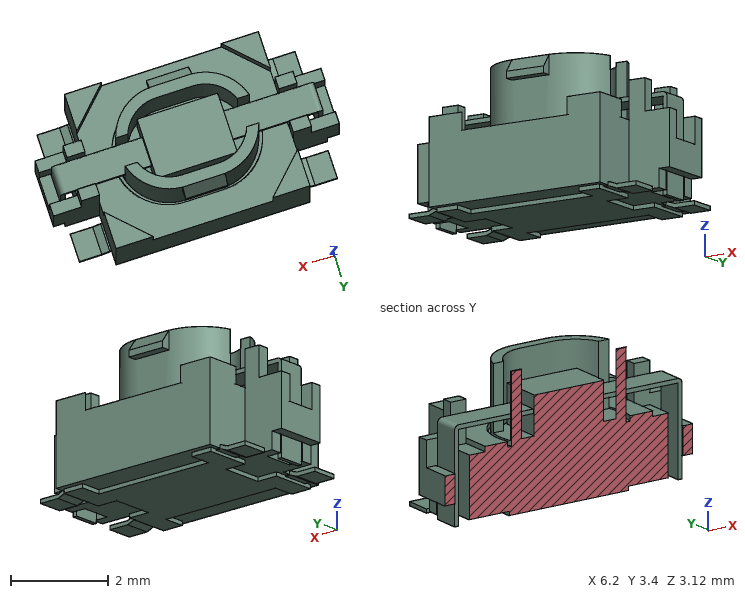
import cadquery as cq

LENGTH = 6.2
BODY_LENGTH = 4.205
BODY_WIDTH = 3.4
TOTAL_HEIGHT = 3.12
BODY_BOTTOM = 0.09
BODY_TOP = 1.62

CORNER_LEG = 0.805
CORNER_TOP = 2.0

COLLAR_FLAT = 0.795
COLLAR_OUTER_RADIUS = 1.1
COLLAR_INNER_RADIUS = 0.85
RECESS_FLAT = 0.845
RECESS_RADIUS = 1.155
RECESS_FLOOR = 1.5

HOOK_WIDTH = 0.92
HOOK_TIP_Y = 1.3
HOOK_BOTTOM = 2.685
HOOK_LIP_TOP = 2.835

BUTTON_LENGTH = 1.75
BUTTON_WIDTH = 1.3
BUTTON_TOP = 2.505

STRAP_WIDTH = 0.62
STRAP_LENGTH = 5.69
STRAP_THICKNESS = 0.1
STRAP_TOP = 2.195
STRAP_BEND_RADIUS = 0.11

BRACKET_WIDTH = 1.215
BRACKET_SLOT_WIDTH = 0.695
BRACKET_SLOT_FLOOR = 1.16
OVERHANG_BOTTOM = 0.5
SHOULDER_TOP = 1.755
POST_TOP = 2.46
POST_LENGTH = 0.39

FOOT_SPAN = 5.59
FOOT_WIDTH = 0.61
FOOT_CENTER_Y = 1.09
FOOT_THICKNESS = 0.09
FOOT_BEND_START = 2.31
FOOT_BEND_END = 2.14
FOOT_RISE = 0.07
FOOT_EMBED = 0.125

PLATE_LENGTH = 4.005
PLATE_WIDTH = 3.125
PLATE_ARM = 0.51
PLATE_END_NOTCH_WIDTH = 0.99

BODY_END = BODY_LENGTH / 2
BODY_SIDE = BODY_WIDTH / 2
STRAP_END = STRAP_LENGTH / 2


def block(x_range, y_range, z_range):
    """Box between the given limits along each axis."""
    sizes = [high - low for low, high in (x_range, y_range, z_range)]
    corner = (x_range[0], y_range[0], z_range[0])
    return cq.Workplane("XY").box(*sizes, centered=False).translate(corner)


def centered_block(length, width, bottom, top):
    """Box centred on the Z axis."""
    return block((-length / 2, length / 2), (-width / 2, width / 2), (bottom, top))


def stadium(flat, radius, bottom, top):
    """Upright slot-shaped prism whose straight sides run along X."""
    outline = cq.Workplane("XY").workplane(offset=bottom).slot2D(flat + 2 * radius, 2 * radius)
    return outline.extrude(top - bottom)


def at_both_ends(shape):
    """The shape together with its mirror image at the opposite X end."""
    return shape.union(shape.mirror("YZ"))


def at_both_sides(shape):
    """The shape together with its mirror image at the opposite Y side."""
    return shape.union(shape.mirror("XZ"))


def make_body():
    body = centered_block(BODY_LENGTH, BODY_WIDTH, BODY_BOTTOM, BODY_TOP)
    corner = (
        cq.Workplane("XY")
        .workplane(offset=BODY_BOTTOM)
        .moveTo(BODY_END, BODY_SIDE)
        .lineTo(BODY_END - CORNER_LEG, BODY_SIDE)
        .lineTo(BODY_END, BODY_SIDE - CORNER_LEG)
        .close()
        .extrude(CORNER_TOP - BODY_BOTTOM)
    )
    body = body.union(at_both_sides(at_both_ends(corner)))
    return body.cut(stadium(RECESS_FLAT, RECESS_RADIUS, RECESS_FLOOR, BODY_TOP))


def make_hook():
    collar_center_y = (COLLAR_INNER_RADIUS + COLLAR_OUTER_RADIUS) / 2
    return (
        cq.Workplane("YZ")
        .moveTo(collar_center_y, HOOK_BOTTOM)
        .lineTo(HOOK_TIP_Y, HOOK_BOTTOM)
        .lineTo(HOOK_TIP_Y, HOOK_LIP_TOP)
        .lineTo(COLLAR_OUTER_RADIUS, TOTAL_HEIGHT)
        .lineTo(collar_center_y, TOTAL_HEIGHT)
        .close()
        .extrude(HOOK_WIDTH / 2, both=True)
    )


def make_collar():
    collar = stadium(COLLAR_FLAT, COLLAR_OUTER_RADIUS, RECESS_FLOOR, TOTAL_HEIGHT)
    collar = collar.union(at_both_sides(make_hook()))
    collar = collar.cut(stadium(COLLAR_FLAT, COLLAR_INNER_RADIUS, BODY_TOP, TOTAL_HEIGHT))
    return collar.cut(centered_block(LENGTH, STRAP_WIDTH, BODY_TOP, TOTAL_HEIGHT))


def make_strap():
    inner_length = STRAP_LENGTH - 2 * STRAP_THICKNESS
    inner_top = STRAP_TOP - STRAP_THICKNESS
    inner_radius = STRAP_BEND_RADIUS - STRAP_THICKNESS
    outer = centered_block(STRAP_LENGTH, STRAP_WIDTH, 0, STRAP_TOP)
    outer = outer.edges("|Y and >Z").fillet(STRAP_BEND_RADIUS)
    inner = centered_block(inner_length, STRAP_WIDTH, 0, inner_top)
    inner = inner.edges("|Y and >Z").fillet(inner_radius)
    return outer.cut(inner)


def make_bracket():
    half_width = BRACKET_WIDTH / 2
    half_slot = BRACKET_SLOT_WIDTH / 2
    post_end = BODY_END + POST_LENGTH
    profile = (
        cq.Workplane("XZ")
        .moveTo(BODY_END, BODY_BOTTOM)
        .lineTo(STRAP_END, BODY_BOTTOM)
        .lineTo(STRAP_END, OVERHANG_BOTTOM)
        .lineTo(LENGTH / 2, OVERHANG_BOTTOM)
        .lineTo(LENGTH / 2, SHOULDER_TOP)
        .lineTo(post_end, SHOULDER_TOP)
        .lineTo(post_end, POST_TOP)
        .lineTo(BODY_END, POST_TOP)
        .close()
    )
    bracket = profile.extrude(half_width, both=True)
    slot_y = (-half_slot, half_slot)
    bracket = bracket.cut(block((BODY_END, post_end), slot_y, (RECESS_FLOOR, POST_TOP)))
    bracket = bracket.cut(block((post_end, STRAP_END), slot_y, (BODY_BOTTOM, POST_TOP)))
    return bracket.cut(block((STRAP_END, LENGTH / 2), slot_y, (BRACKET_SLOT_FLOOR, POST_TOP)))


def make_foot():
    foot_end = FOOT_SPAN / 2
    root = BODY_END - FOOT_EMBED
    return (
        cq.Workplane("XZ")
        .moveTo(foot_end, 0)
        .lineTo(foot_end, FOOT_THICKNESS)
        .lineTo(FOOT_BEND_START, FOOT_THICKNESS)
        .lineTo(FOOT_BEND_END, FOOT_THICKNESS + FOOT_RISE)
        .lineTo(root, FOOT_THICKNESS + FOOT_RISE)
        .lineTo(root, FOOT_RISE)
        .lineTo(FOOT_BEND_END, FOOT_RISE)
        .lineTo(FOOT_BEND_START, 0)
        .close()
        .extrude(FOOT_WIDTH / 2, both=True)
        .translate((0, FOOT_CENTER_Y, 0))
    )


def make_plate():
    inner_length = PLATE_LENGTH - 2 * PLATE_ARM
    inner_width = PLATE_WIDTH - 2 * PLATE_ARM
    wide = centered_block(PLATE_LENGTH, PLATE_WIDTH, 0, BODY_BOTTOM)
    end_notch = block(
        (inner_length / 2, PLATE_LENGTH / 2),
        (-PLATE_END_NOTCH_WIDTH / 2, PLATE_END_NOTCH_WIDTH / 2),
        (0, BODY_BOTTOM),
    )
    side_notch = block(
        (-inner_length / 2, inner_length / 2),
        (inner_width / 2, PLATE_WIDTH / 2),
        (0, BODY_BOTTOM),
    )
    return wide.cut(at_both_ends(end_notch)).cut(at_both_sides(side_notch))


button = centered_block(BUTTON_LENGTH, BUTTON_WIDTH, BODY_TOP, BUTTON_TOP)

result = (
    make_body()
    .union(make_plate())
    .union(make_collar())
    .union(at_both_ends(make_bracket()))
    .union(at_both_sides(at_both_ends(make_foot())))
    .union(make_strap())
    .union(button)
)